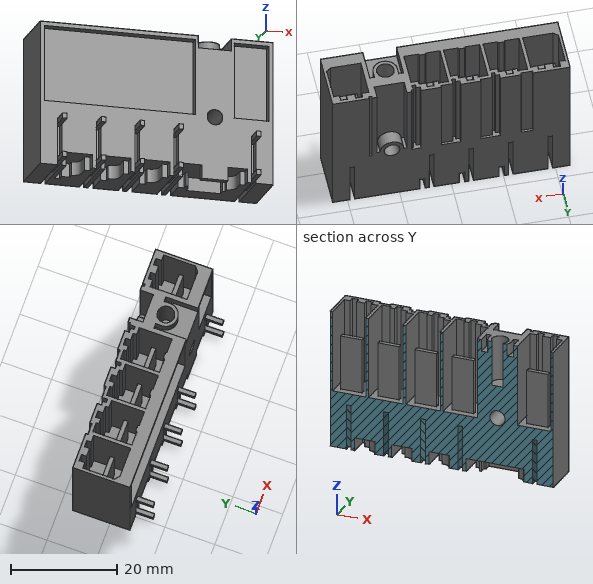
import cadquery as cq

LENGTH = 45.7
DEPTH = 11.48
HEIGHT = 28.3

POSITIONS = 6
PITCH = LENGTH / POSITIONS
CONTACT_X = [(i + 0.5) * PITCH for i in (0, 1, 2, 3, 5)]
FLANGE_X = 4.5 * PITCH
FLANGE_LEFT = FLANGE_X - PITCH / 2
FLANGE_RIGHT = FLANGE_X + PITCH / 2
WALL = 0.82

PIN_THICKNESS = 0.85
TAIL_HEIGHT = 1.0
TAIL_LENGTH = 3.45
TAIL_ROWS_Z = [1.1, 1.1 + PITCH]
PLATE_FRONT = 1.65
PLATE_BOTTOM = TAIL_ROWS_Z[0] - TAIL_HEIGHT / 2
PLATE_TOP = TAIL_ROWS_Z[1] + TAIL_HEIGHT / 2
BLADE_WIDTH = 4.4
BLADE_TOP = 22.85
BLADE_FRONT = (DEPTH - PIN_THICKNESS) / 2
BLADE_BACK = BLADE_FRONT + PIN_THICKNESS

CHAMBER_FRONT = 2.5
CHAMBER_HALF = 3.47
CHAMBER_OUTER_HALF = 3.25
CHAMBER_BACK = 9.8
KEYWAY_BACK = 10.8
STEP_BACK = 9.1
LEDGE_BACK = 10.35
END_OUTER_BACK = 9.65
END_INNER_BACK = 9.9
STEP_X = 2.0
LEDGE_X = 1.65
KEYWAY_HALF = 0.65
END_KEYWAY_NEAR = 0.82
END_KEYWAY_FAR = 2.1
CORNER_CUT_X = 0.9
CORNER_CUT_Y = 0.75
BUMP_HALF = 0.75
BUMP_TOP_HALF = 0.5
BUMP_HEIGHT = 0.27

WINDOW_BOTTOM = 12.57
WINDOW_TOP = HEIGHT - WALL
WINDOW_DEPTH = CHAMBER_FRONT - WALL
CHAMBER_FLOOR = WINDOW_BOTTOM - WALL

GROOVE_SHALLOW = 0.45
GROOVE_MIDDLE = 0.85
GROOVE_DEEP = 1.55
HOOK_MIDDLE_X = 2.8
HOOK_END_X = 3.45
GROOVE_END_X = 5.7
FIRST_GROOVE_LEFT = 7.15
FIRST_GROOVE_RIGHT = 9.35
LAST_GROOVE_RIGHT = 38.6

STEP_HALF = 3.25
FLANGE_STEP_DEPTH = 6.45
STEP_FLOOR = 25.9
BOSS_RADIUS = 2.35
BOSS_Y = 5.25
SCREW_HOLE_RADIUS = 1.65
SCREW_HOLE_DEPTH = 9.15
CROSS_HOLE_RADIUS = 1.5
CROSS_HOLE_Z = 12.4
COLLAR_RADIUS = 2.3
BACK_RECESS_HALF = 2.9
BACK_RECESS_FRONT = 8.82

NOTCH_HEIGHT = 2.65
WEB_HALF = 1.25
SHOULDER_Y = 1.65
ARCH_RADIUS = 1.55
ARCH_Y = 3.65
POCKET_BACK = 6.4
BLIND_CHANNEL_BACK = 7.75
FOOT_HALF = 2.55
FOOT_THICKNESS = 1.2
FOOT_HOLLOW_HALF = 3.4
ARCH_CUT_X = 0.4


def box(x0, x1, y0, y1, z0, z1):
    """Axis-aligned block between two opposite corners."""
    return cq.Workplane("XY").box(x1 - x0, y1 - y0, z1 - z0, centered=False).translate((x0, y0, z0))


def prism(points, z0, z1):
    """Vertical prism over a closed polygon."""
    return cq.Workplane("XY", origin=(0, 0, z0)).polyline(points).close().extrude(z1 - z0)


def cylinder_z(x, y, radius, z0, z1):
    return cq.Workplane("XY", origin=(x, y, z0)).circle(radius).extrude(z1 - z0)


def cylinder_y(x, z, radius, y0, y1):
    return cq.Workplane("XZ", origin=(x, y0, z)).circle(radius).extrude(y0 - y1)


def inner_chamber(x):
    """Chamber with one keyway, a ledge, a step and a bump on its front wall."""
    outline = [
        (-CHAMBER_HALF, CHAMBER_FRONT),
        (-BUMP_HALF, CHAMBER_FRONT),
        (-BUMP_TOP_HALF, CHAMBER_FRONT + BUMP_HEIGHT),
        (BUMP_TOP_HALF, CHAMBER_FRONT + BUMP_HEIGHT),
        (BUMP_HALF, CHAMBER_FRONT),
        (CHAMBER_HALF, CHAMBER_FRONT),
        (CHAMBER_HALF, STEP_BACK),
        (STEP_X, STEP_BACK),
        (STEP_X, CHAMBER_BACK),
        (KEYWAY_HALF, CHAMBER_BACK),
        (KEYWAY_HALF, KEYWAY_BACK),
        (-KEYWAY_HALF, KEYWAY_BACK),
        (-KEYWAY_HALF, CHAMBER_BACK),
        (-LEDGE_X, CHAMBER_BACK),
        (-LEDGE_X, LEDGE_BACK),
        (-CHAMBER_HALF, LEDGE_BACK),
    ]
    return prism([(x + dx, y) for dx, y in outline], CHAMBER_FLOOR, HEIGHT)


def end_chamber(x, inward):
    """Chamber with two keyways and a cut outer corner; inward is +1 or -1 along X."""
    outline = [
        (-CHAMBER_OUTER_HALF + CORNER_CUT_X, CHAMBER_FRONT),
        (CHAMBER_HALF, CHAMBER_FRONT),
        (CHAMBER_HALF, END_INNER_BACK),
        (END_KEYWAY_FAR, END_INNER_BACK),
        (END_KEYWAY_FAR, KEYWAY_BACK),
        (END_KEYWAY_NEAR, KEYWAY_BACK),
        (END_KEYWAY_NEAR, CHAMBER_BACK),
        (-END_KEYWAY_NEAR, CHAMBER_BACK),
        (-END_KEYWAY_NEAR, KEYWAY_BACK),
        (-END_KEYWAY_FAR, KEYWAY_BACK),
        (-END_KEYWAY_FAR, END_OUTER_BACK),
        (-CHAMBER_OUTER_HALF, END_OUTER_BACK),
        (-CHAMBER_OUTER_HALF, CHAMBER_FRONT + CORNER_CUT_Y),
    ]
    return prism([(x + inward * dx, y) for dx, y in outline], CHAMBER_FLOOR, HEIGHT)


def back_groove(x0, x1, depth):
    return box(x0, x1, DEPTH - depth, DEPTH, CHAMBER_FLOOR, HEIGHT)


def hooked_groove(x):
    """Stepped groove to the right of an inner chamber, stopping at the flange."""
    right = min(x + GROOVE_END_X, FLANGE_LEFT)
    groove = back_groove(x + STEP_X, x + HOOK_MIDDLE_X, GROOVE_MIDDLE)
    groove = groove.union(back_groove(x + HOOK_MIDDLE_X, x + HOOK_END_X, GROOVE_DEEP))
    return groove.union(back_groove(x + HOOK_END_X, right, GROOVE_SHALLOW))


def contact_slot(x):
    """Passage for a contact: a slot from front to back and a blade opening above it."""
    half = PIN_THICKNESS / 2
    slot = box(x - half, x + half, 0, DEPTH, 0, PLATE_TOP)
    half = BLADE_WIDTH / 2
    return slot.union(box(x - half, x + half, BLADE_FRONT, BLADE_BACK, PLATE_TOP, CHAMBER_FLOOR))


def front_window(x0, x1):
    return box(x0, x1, 0, WINDOW_DEPTH, WINDOW_BOTTOM, WINDOW_TOP)


def arched_hollow(x, left, right):
    """Front notch from left to right with an arch-ended recess behind it."""
    hollow = box(left, right, 0, SHOULDER_Y, 0, NOTCH_HEIGHT)
    hollow = hollow.union(
        box(x - ARCH_RADIUS, x + ARCH_RADIUS, SHOULDER_Y, ARCH_Y, 0, NOTCH_HEIGHT)
    )
    return hollow.union(cylinder_z(x, ARCH_Y, ARCH_RADIUS, 0, NOTCH_HEIGHT))


def gap_hollow(left_contact_x, right, pocket_right, channel_back):
    """Arched hollow with a square pocket and a channel beside the left-hand contact."""
    x = left_contact_x + PITCH / 2
    left = left_contact_x + WEB_HALF
    hollow = arched_hollow(x, left, right)
    hollow = hollow.union(box(left, pocket_right, 0, POCKET_BACK, 0, NOTCH_HEIGHT))
    return hollow.union(box(left, x - ARCH_RADIUS, 0, channel_back, 0, NOTCH_HEIGHT))


def flange_hollow():
    """Stepped hollow behind the foot plate of the screw flange."""
    hollow = box(FLANGE_LEFT, FLANGE_RIGHT, FOOT_THICKNESS, POCKET_BACK, 0, NOTCH_HEIGHT)
    return hollow.union(
        box(FLANGE_X - FOOT_HOLLOW_HALF, FLANGE_X + FOOT_HOLLOW_HALF,
            FOOT_THICKNESS, BLIND_CHANNEL_BACK, 0, NOTCH_HEIGHT)
    )


def cut_underside(body):
    first, second, third, fourth, last = CONTACT_X
    body = body.cut(gap_hollow(first, second - WEB_HALF, first + PITCH / 2, BLIND_CHANNEL_BACK))
    for x in (second, third):
        body = body.cut(gap_hollow(x, x + PITCH - WEB_HALF, x + PITCH / 2 - ARCH_CUT_X, DEPTH))
    body = body.cut(gap_hollow(fourth, FLANGE_X - FOOT_HALF, FLANGE_LEFT - ARCH_CUT_X, DEPTH))
    body = body.cut(arched_hollow(FLANGE_RIGHT, FLANGE_X + FOOT_HALF, last - WEB_HALF))
    return body.cut(flange_hollow())


def shape_flange(body):
    step = box(FLANGE_X - STEP_HALF, FLANGE_X + STEP_HALF, 0, FLANGE_STEP_DEPTH, STEP_FLOOR, HEIGHT)
    boss = cylinder_z(FLANGE_X, BOSS_Y, BOSS_RADIUS, STEP_FLOOR, HEIGHT)
    boss = boss.union(
        box(FLANGE_X - BOSS_RADIUS, FLANGE_X + BOSS_RADIUS, BOSS_Y, FLANGE_STEP_DEPTH,
            STEP_FLOOR, HEIGHT)
    )
    body = body.cut(step.cut(boss))
    body = body.cut(cylinder_z(FLANGE_X, BOSS_Y, SCREW_HOLE_RADIUS, HEIGHT - SCREW_HOLE_DEPTH, HEIGHT))
    recess = box(FLANGE_X - BACK_RECESS_HALF, FLANGE_X + BACK_RECESS_HALF,
                 BACK_RECESS_FRONT, DEPTH, CROSS_HOLE_Z, HEIGHT)
    collar = cylinder_y(FLANGE_X, CROSS_HOLE_Z, COLLAR_RADIUS, BACK_RECESS_FRONT, DEPTH)
    body = body.cut(recess.cut(collar))
    return body.cut(cylinder_y(FLANGE_X, CROSS_HOLE_Z, CROSS_HOLE_RADIUS, 0, DEPTH))


def make_housing():
    body = box(0, LENGTH, 0, DEPTH, 0, HEIGHT)
    body = body.cut(front_window(WALL, FLANGE_LEFT))
    body = body.cut(front_window(FLANGE_RIGHT, LENGTH - WALL))
    body = body.cut(end_chamber(CONTACT_X[0], 1))
    body = body.cut(end_chamber(CONTACT_X[-1], -1))
    for x in CONTACT_X[1:-1]:
        body = body.cut(inner_chamber(x))
        body = body.cut(hooked_groove(x))
    body = body.cut(back_groove(FIRST_GROOVE_LEFT, FIRST_GROOVE_RIGHT, GROOVE_SHALLOW))
    body = body.cut(back_groove(FLANGE_RIGHT, LAST_GROOVE_RIGHT, GROOVE_SHALLOW))
    body = shape_flange(body)
    body = cut_underside(body)
    for x in CONTACT_X:
        body = body.cut(contact_slot(x))
    return body.solids().val()


def make_contact(x):
    """Blade on a vertical plate with two solder tails to the front."""
    half = PIN_THICKNESS / 2
    contact = box(x - half, x + half, PLATE_FRONT, BLADE_BACK, PLATE_BOTTOM, PLATE_TOP)
    for z in TAIL_ROWS_Z:
        contact = contact.union(
            box(x - half, x + half, -TAIL_LENGTH, PLATE_FRONT, z - TAIL_HEIGHT / 2, z + TAIL_HEIGHT / 2)
        )
    half = BLADE_WIDTH / 2
    contact = contact.union(box(x - half, x + half, BLADE_FRONT, BLADE_BACK, PLATE_TOP, BLADE_TOP))
    return contact.solids().val()


housing = make_housing()
contacts = [make_contact(x) for x in CONTACT_X]

result = cq.Compound.makeCompound([housing, *contacts])